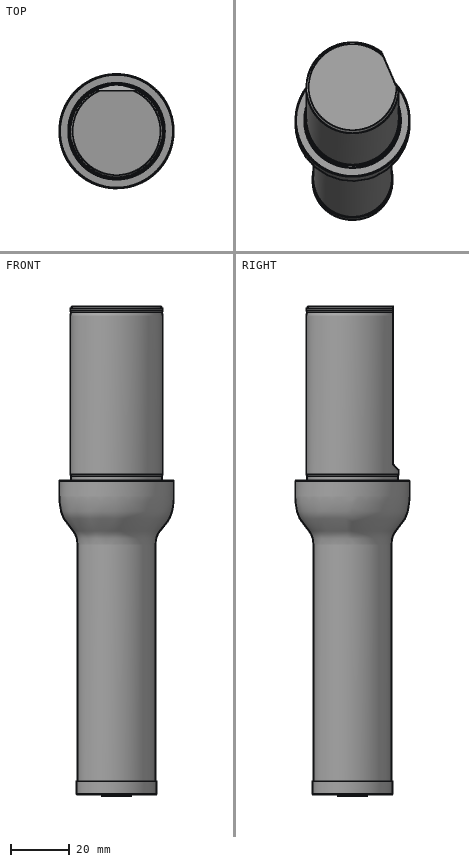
import cadquery as cq

TOTAL_HEIGHT = 169.0
BOSS_HEIGHT = 0.5
TIP_TOP = 5.2
NECK_BLEND_BOTTOM = 86.9
COLLAR_BOTTOM = 103.5
COLLAR_TOP = 109.0
SHANK_BOTTOM = 110.4

BOSS_DIAMETER = 10.1
TIP_DIAMETER = 27.7
STEM_DIAMETER = 27.0
COLLAR_DIAMETER = 39.5
SHANK_DIAMETER = 32.0
GROOVE_DIAMETER = 31.5

TIP_CHAMFER = 0.3
COLLAR_CHAMFER = 0.3
SHANK_BOTTOM_CHAMFER_HEIGHT = 0.7
TOP_CHAMFER = 0.8

GROOVE_TOP = TOTAL_HEIGHT - 1.5
GROOVE_FLOOR_TOP = TOTAL_HEIGHT - 2.2
GROOVE_BOTTOM = TOTAL_HEIGHT - 3.2

RELIEF_DIAMETER = 33.5
RELIEF_FLOOR_DIAMETER = 32.6
RELIEF_DEPTH = 0.5

FLAT_OFFSET = 14.0
FLAT_RUNOUT_BOTTOM = 112.4

STEM_PULL = 6.8
COLLAR_PULL = 11.3


def make_flat_cutter():
    """Prism that removes the shank side, with a sloping lower end."""
    reach = COLLAR_DIAMETER / 2
    return (
        cq.Workplane("YZ")
        .moveTo(FLAT_OFFSET, TOTAL_HEIGHT)
        .lineTo(FLAT_OFFSET, FLAT_RUNOUT_BOTTOM + SHANK_DIAMETER / 2 - FLAT_OFFSET)
        .lineTo(reach, FLAT_RUNOUT_BOTTOM + SHANK_DIAMETER / 2 - reach)
        .lineTo(reach, TOTAL_HEIGHT)
        .close()
        .extrude(reach, both=True)
    )


def make_holder():
    """Turned stem, collar and shank, with a flat along the shank."""
    stem_radius = STEM_DIAMETER / 2
    collar_radius = COLLAR_DIAMETER / 2
    shank_radius = SHANK_DIAMETER / 2
    groove_radius = GROOVE_DIAMETER / 2
    relief_radius = RELIEF_DIAMETER / 2
    blend_controls = [
        (stem_radius, NECK_BLEND_BOTTOM),
        (stem_radius, NECK_BLEND_BOTTOM + STEM_PULL),
        (collar_radius, COLLAR_BOTTOM - COLLAR_PULL),
        (collar_radius, COLLAR_BOTTOM),
    ]
    turned = (
        cq.Workplane("XZ")
        .moveTo(0, TIP_TOP)
        .lineTo(stem_radius, TIP_TOP)
        .lineTo(stem_radius, NECK_BLEND_BOTTOM)
        .bezier(blend_controls)
        .lineTo(collar_radius, COLLAR_TOP - COLLAR_CHAMFER)
        .lineTo(collar_radius - COLLAR_CHAMFER, COLLAR_TOP)
        .lineTo(relief_radius, COLLAR_TOP)
        .lineTo(RELIEF_FLOOR_DIAMETER / 2, COLLAR_TOP - RELIEF_DEPTH)
        .lineTo(groove_radius, COLLAR_TOP - RELIEF_DEPTH)
        .lineTo(groove_radius, SHANK_BOTTOM)
        .lineTo(shank_radius, SHANK_BOTTOM + SHANK_BOTTOM_CHAMFER_HEIGHT)
        .lineTo(shank_radius, GROOVE_BOTTOM)
        .lineTo(groove_radius, GROOVE_FLOOR_TOP)
        .lineTo(shank_radius, GROOVE_TOP)
        .lineTo(shank_radius, TOTAL_HEIGHT - TOP_CHAMFER)
        .lineTo(shank_radius - TOP_CHAMFER, TOTAL_HEIGHT)
        .lineTo(0, TOTAL_HEIGHT)
        .close()
        .revolve(360, (0, 0, 0), (0, 1, 0))
    )
    return turned.cut(make_flat_cutter())


def make_tip():
    """Slightly wider end disc with a small boss under it."""
    disc = (
        cq.Workplane("XY", origin=(0, 0, BOSS_HEIGHT))
        .circle(TIP_DIAMETER / 2)
        .extrude(TIP_TOP - BOSS_HEIGHT)
        .faces("<Z")
        .chamfer(TIP_CHAMFER)
    )
    boss = cq.Workplane("XY").circle(BOSS_DIAMETER / 2).extrude(BOSS_HEIGHT)
    return disc.union(boss)


holder = make_holder()
tip = make_tip()
result = cq.Compound.makeCompound([holder.val(), tip.val()])